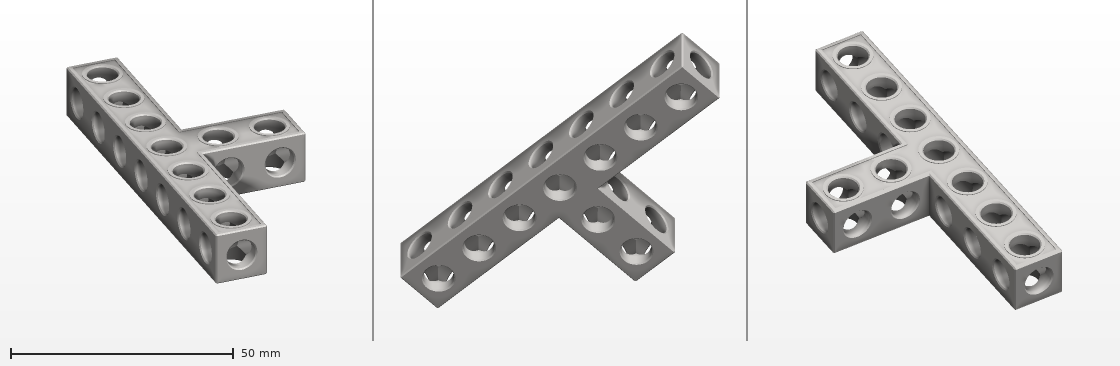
import cadquery as cq
LENGTH = 87.5
BAR_CELLS = 7
STEM_CELLS = 2
HOLE_DIAMETER = 7.0
CHAMFER = 0.3
LAND_WIDTH = 0.8
RECESS_DEPTH = 0.2

cell = LENGTH / BAR_CELLS
half_cell = cell / 2
depth = cell * (1 + STEM_CELLS)
rim_width = CHAMFER + LAND_WIDTH
hole_radius = HOLE_DIAMETER / 2
collar_radius = hole_radius + rim_width
centre_column = BAR_CELLS // 2

bar_centres = [((i + 0.5) * cell, half_cell) for i in range(BAR_CELLS)]
stem_x = bar_centres[centre_column][0]
stem_centres = [(stem_x, (j + 1.5) * cell) for j in range(STEM_CELLS)]
cell_centres = bar_centres + stem_centres


def tee(inset, height):
    """T-shaped prism from Z = 0, with its outline moved inwards by inset."""
    width = cell - 2 * inset
    bar = cq.Workplane("XY").box(LENGTH - 2 * inset, width, height, centered=False)
    bar = bar.translate((inset, inset, 0))
    stem = cq.Workplane("XY").box(width, depth - 2 * inset, height, centered=False)
    stem = stem.translate((stem_x - width / 2, inset, 0))
    return bar.union(stem).clean()


def through_hole(start, direction, length):
    """Round cutter along direction, flared at both ends to chamfer the hole mouths."""
    mouth_radius = hole_radius + CHAMFER
    axis = cq.Vector(*direction)
    origin = cq.Vector(*start)
    cutter = cq.Solid.makeCylinder(hole_radius, length, origin, axis)
    near = cq.Solid.makeCone(mouth_radius, hole_radius, CHAMFER, origin, axis)
    far = cq.Solid.makeCone(mouth_radius, hole_radius, CHAMFER, origin + axis * length, axis * -1)
    return cutter.fuse(near, far)


def top_recess():
    """Shallow top pocket that leaves a rim along the outline and a collar at each hole."""
    pocket = tee(rim_width, RECESS_DEPTH)
    collars = cq.Workplane("XY").pushPoints(cell_centres).circle(collar_radius)
    collars = collars.extrude(RECESS_DEPTH)
    return pocket.cut(collars).translate((0, 0, cell - RECESS_DEPTH))


def chamfered_body():
    """Full T prism with every edge chamfered except the two inner corners of the T."""
    block = tee(0, cell)
    corner_band = cq.selectors.BoxSelector(
        (stem_x - cell, cell - CHAMFER, half_cell - CHAMFER),
        (stem_x + cell, cell + CHAMFER, half_cell + CHAMFER),
    )
    return block.edges(cq.selectors.InverseSelector(corner_band)).chamfer(CHAMFER)


body = chamfered_body()
body = body.cut(top_recess())

for x, y in cell_centres:
    body = body.cut(cq.Workplane(through_hole((x, y, 0), (0, 0, 1), cell)))

for x, y in bar_centres:
    run = depth if x == stem_x else cell
    body = body.cut(cq.Workplane(through_hole((x, 0, half_cell), (0, 1, 0), run)))

body = body.cut(cq.Workplane(through_hole((0, half_cell, half_cell), (1, 0, 0), LENGTH)))
for x, y in stem_centres:
    body = body.cut(cq.Workplane(through_hole((x - half_cell, y, half_cell), (1, 0, 0), cell)))

result = body